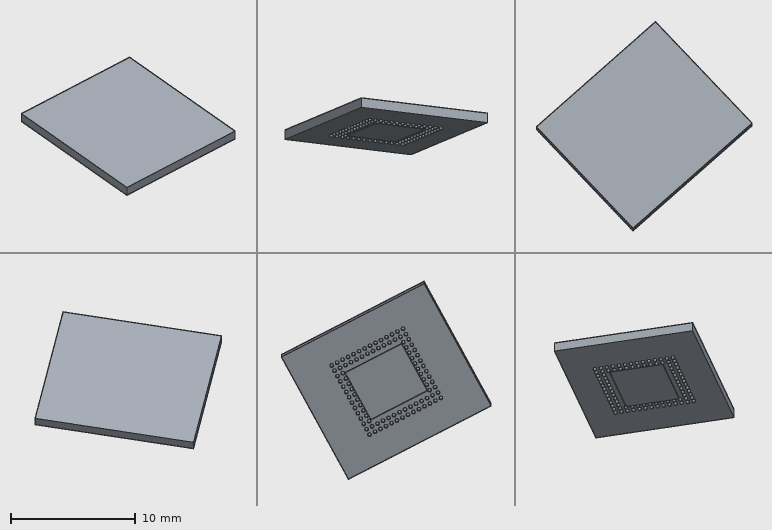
import cadquery as cq

PACKAGE_LENGTH = 13.0
PACKAGE_WIDTH = 11.5
PACKAGE_HEIGHT = 1.01
BALL_DIAMETER = 0.3
BALL_DROP = 0.22
BALLS_PER_SIDE = 14
BALL_ROWS_DEEP = 2
BALL_SPAN = 6.5

DIE_LENGTH = 5.15
DIE_WIDTH = 4.42
DIE_THICKNESS = 0.12

PLATE_THICKNESS = PACKAGE_HEIGHT - BALL_DROP
BALL_PITCH = BALL_SPAN / (BALLS_PER_SIDE - 1)
BALL_RADIUS = BALL_DIAMETER / 2
BALL_CENTRE_Z = BALL_RADIUS - BALL_DROP


def ball_positions():
    """Centres of the balls in the outer rows of the square grid."""
    last = BALLS_PER_SIDE - 1
    positions = []
    for column in range(BALLS_PER_SIDE):
        for row in range(BALLS_PER_SIDE):
            rows_from_edge = min(column, row, last - column, last - row)
            if rows_from_edge < BALL_ROWS_DEEP:
                x = column * BALL_PITCH - BALL_SPAN / 2
                y = row * BALL_PITCH - BALL_SPAN / 2
                positions.append((x, y))
    return positions


def make_ball(x, y):
    return cq.Workplane("XY", origin=(x, y, BALL_CENTRE_Z)).sphere(BALL_RADIUS).val()


def make_package():
    """The plate and its balls as one solid; the top of each ball sinks into the plate."""
    plate = cq.Workplane("XY").box(
        PACKAGE_LENGTH, PACKAGE_WIDTH, PLATE_THICKNESS, centered=(True, True, False)
    )
    balls = [make_ball(x, y) for x, y in ball_positions()]
    return cq.Workplane(plate.val().fuse(*balls))


def make_die():
    """A plain block hanging from the underside of the plate."""
    return cq.Workplane("XY").rect(DIE_LENGTH, DIE_WIDTH).extrude(-DIE_THICKNESS)


package = make_package()
die = make_die()

result = cq.Compound.makeCompound([package.val(), die.val()])